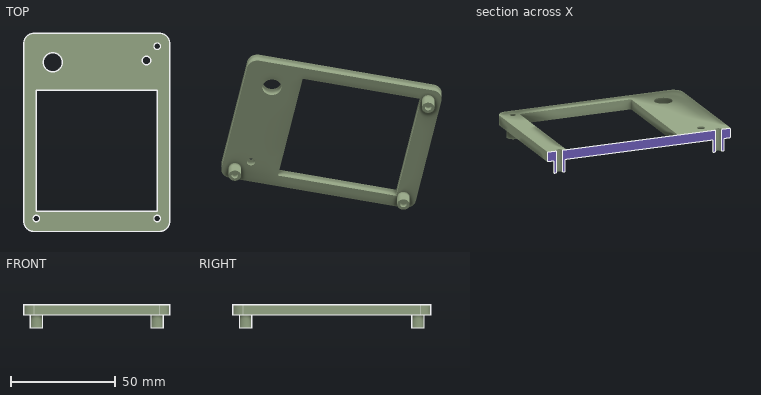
import cadquery as cq

width = 70.0
length = 95.0
height = 11.3
plate_thickness = 5.0
corner_radius = 5.0

window_side = 57.9
window_bottom_margin = 9.8

standoff_diameter = 6.0
standoff_bore = 3.0
standoff_side_inset = 6.1
standoff_end_inset = 6.3

large_hole_diameter = 9.0
large_hole_side_inset = 14.0
large_hole_back_inset = 14.0
small_hole_diameter = 4.0
small_hole_side_inset = 11.2
small_hole_back_inset = 13.1

right = width / 2
back = length / 2
plate_bottom = height - plate_thickness
standoff_x = right - standoff_side_inset
standoff_y = back - standoff_end_inset
standoff_points = [
    (-standoff_x, -standoff_y),
    (standoff_x, -standoff_y),
    (standoff_x, standoff_y),
]


def vertical_cylinders(points, diameter):
    """Full-height cylinders standing on Z = 0."""
    return cq.Workplane("XY").pushPoints(points).circle(diameter / 2).extrude(height)


plate = (
    cq.Workplane("XY")
    .workplane(offset=plate_bottom)
    .rect(width, length)
    .extrude(plate_thickness)
    .edges("|Z")
    .fillet(corner_radius)
)

window_y = -back + window_bottom_margin + window_side / 2
window = cq.Workplane("XY").center(0, window_y).rect(window_side, window_side).extrude(height)

large_hole_point = (-right + large_hole_side_inset, back - large_hole_back_inset)
small_hole_point = (right - small_hole_side_inset, back - small_hole_back_inset)

result = (
    plate.cut(window)
    .union(vertical_cylinders(standoff_points, standoff_diameter))
    .cut(vertical_cylinders(standoff_points, standoff_bore))
    .cut(vertical_cylinders([large_hole_point], large_hole_diameter))
    .cut(vertical_cylinders([small_hole_point], small_hole_diameter))
)